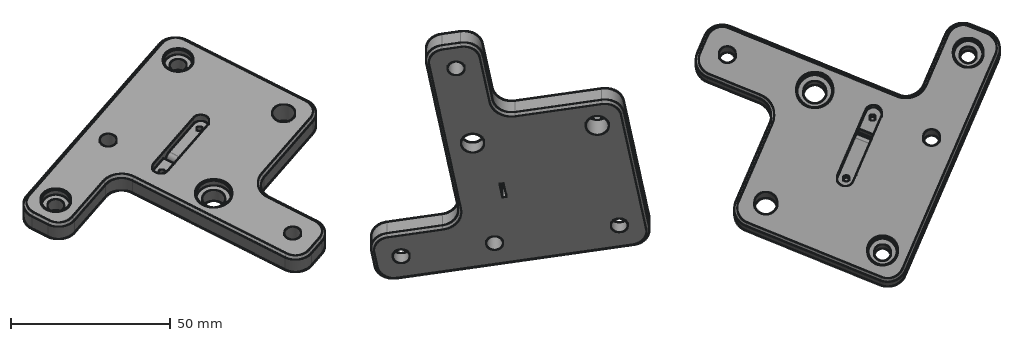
import cadquery as cq

side = 87.5
thickness = 8.0
arm_width = 18.0
body_side = 57.7
corner_radius = 6.0
edge_chamfer = 1.0

hole_inset = arm_width / 2
body_far = body_side - hole_inset
arm_far = side - hole_inset
small_hole = 5.3
large_hole = 7.3
small_counterbore = 9.0
large_counterbore = 11.0
counterbore_depth = 2.6
rim_chamfer = 0.35

slot_x = body_side / 2
slot_y = 49.95
slot_length = 28.1
slot_width = 5.3
slot_depth = 3.0
pilot_hole = 2.0
pilot_spacing = 21.3
pilot_depth = 3.0
opening_low_y = 44.3
opening_width = 1.3
opening_round = 1.8


def make_plate():
    """L-shaped plate with rounded corners and chamfered rims."""
    body_low = side - body_side
    arm_top = body_low + arm_width
    outline = [
        (0, 0),
        (arm_width, 0),
        (arm_width, body_low),
        (side, body_low),
        (side, arm_top),
        (body_side, arm_top),
        (body_side, side),
        (0, side),
    ]
    plate = cq.Workplane("XY").polyline(outline).close().extrude(thickness)
    plate = plate.edges("|Z").fillet(corner_radius)
    return plate.faces("<Z or >Z").edges().chamfer(edge_chamfer)


def cylinder(x, y, diameter, bottom, top):
    """Vertical cylinder used as a cutter."""
    return cq.Workplane("XY", origin=(x, y, bottom)).circle(diameter / 2).extrude(top - bottom)


def counterbore(x, y, diameter):
    """Counterbore cutter with a chamfered rim at the top face."""
    bore = cylinder(x, y, diameter, thickness - counterbore_depth, thickness)
    rim = (
        cq.Workplane("XY", origin=(x, y, thickness - rim_chamfer))
        .circle(diameter / 2)
        .workplane(offset=rim_chamfer)
        .circle(diameter / 2 + rim_chamfer)
        .loft(ruled=True)
    )
    return bore.union(rim)


def make_slot():
    """Rounded slot cutter, with pilot holes and the rounded opening below its floor."""
    floor = thickness - slot_depth
    slot = (
        cq.Workplane("XY", origin=(slot_x, slot_y, floor))
        .slot2D(slot_length, slot_width, 90)
        .extrude(slot_depth)
    )
    for direction in (-1, 1):
        y = slot_y + direction * pilot_spacing / 2
        slot = slot.union(cylinder(slot_x, y, pilot_hole, floor - pilot_depth, floor))
    opening_high_y = opening_low_y + opening_width
    opening = (
        cq.Workplane("YZ", origin=(slot_x - slot_width / 2, 0, 0))
        .moveTo(opening_low_y, 0)
        .lineTo(opening_high_y, 0)
        .lineTo(opening_high_y, floor - opening_round)
        .radiusArc((opening_high_y + opening_round, floor), opening_round)
        .lineTo(opening_low_y, floor)
        .close()
        .extrude(slot_width)
    )
    return slot.union(opening)


result = make_plate()

holes = [
    (hole_inset, hole_inset, small_hole, small_counterbore),
    (hole_inset, arm_far, small_hole, small_counterbore),
    (hole_inset, side - body_far, small_hole, None),
    (arm_far, side - body_far, small_hole, None),
    (body_far, side - body_far, large_hole, large_counterbore),
    (body_far, arm_far, large_hole, None),
]
for x, y, diameter, bore_diameter in holes:
    result = result.cut(cylinder(x, y, diameter, 0, thickness))
    if bore_diameter is not None:
        result = result.cut(counterbore(x, y, bore_diameter))

result = result.cut(make_slot())